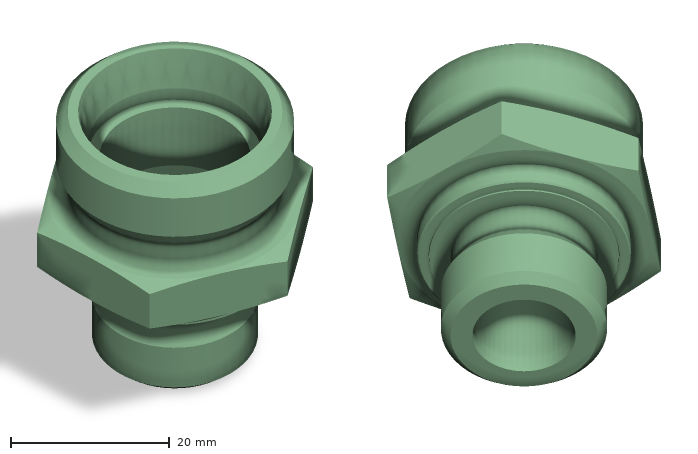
import cadquery as cq
import math

TOTAL_HEIGHT = 38.0
FLANGE_BOTTOM = 14.0
HEX_BOTTOM = 17.0
HEX_TOP = 24.0
STUD_SHOULDER = 7.8
COLLAR_SHOULDER = 30.15

STUD_RADIUS = 20.95 / 2
STUD_NECK_RADIUS = 18.4 / 2
FLANGE_RADIUS = 26.9 / 2
COLLAR_NECK_RADIUS = 26.9 / 2
COLLAR_RADIUS = 30.0 / 2
HEX_ACROSS_FLATS = 32.0
STUD_CHAMFER = 1.2
COLLAR_CHAMFER = 1.5
FLANGE_CHAMFER = 0.2
HEX_CHAMFER_ANGLE = 15.0
RUNOUT_ANGLE = 30.0
RUNOUT_RADIUS = 1.0
HEX_FILLET = 1.15

BORE_RADIUS = 13.0 / 2
MIDDLE_BORE_RADIUS = 19.0 / 2
TUBE_SOCKET_RADIUS = 22.0 / 2
MOUTH_RADIUS = 12.2
MOUTH_DEPTH = 5.6
TUBE_SOCKET_DEPTH = 7.5
MIDDLE_BORE_DEPTH = 17.1
BORE_CONE_ANGLE = 60.0

SEAL_OUTER_RADIUS = 23.9 / 2
SEAL_INNER_RADIUS = 18.5 / 2
SEAL_THICKNESS = 1.5
SEAL_PROTRUSION = 0.2
RECESS_RADIUS = 24.0 / 2

SEAL_BOTTOM = FLANGE_BOTTOM - SEAL_PROTRUSION
RECESS_ROOF = SEAL_BOTTOM + SEAL_THICKNESS


def revolve(profile):
    """Turn a closed (radius, height) profile about the Z axis."""
    return profile.close().revolve(360, (0, 0, 0), (0, 1, 0))


def runout_points(neck_radius, thread_radius, shoulder, direction):
    """Neck end, blend midpoint and cone end of a thread run-out.

    direction is +1 where the neck lies above the shoulder and -1 where it lies below.
    """
    angle = math.radians(RUNOUT_ANGLE)

    def blend_offset(turn):
        return RUNOUT_RADIUS * (1 - math.cos(turn))

    cone_radius = neck_radius + blend_offset(angle)
    cone_z = shoulder + direction * (thread_radius - cone_radius) / math.tan(angle)
    neck_z = cone_z + direction * RUNOUT_RADIUS * math.sin(angle)
    middle_z = neck_z - direction * RUNOUT_RADIUS * math.sin(angle / 2)
    middle_radius = neck_radius + blend_offset(angle / 2)
    return (neck_radius, neck_z), (middle_radius, middle_z), (cone_radius, cone_z)


def make_stud():
    """Lower thread, neck and flange, with the seal recess in the flange face."""
    neck_end, blend_middle, cone_end = runout_points(STUD_NECK_RADIUS, STUD_RADIUS, STUD_SHOULDER, 1)
    profile = (
        cq.Workplane("XZ")
        .moveTo(0, 0)
        .lineTo(STUD_RADIUS - STUD_CHAMFER, 0)
        .lineTo(STUD_RADIUS, STUD_CHAMFER)
        .lineTo(STUD_RADIUS, STUD_SHOULDER)
        .lineTo(*cone_end)
        .threePointArc(blend_middle, neck_end)
        .lineTo(STUD_NECK_RADIUS, RECESS_ROOF)
        .lineTo(RECESS_RADIUS, RECESS_ROOF)
        .lineTo(RECESS_RADIUS, FLANGE_BOTTOM)
        .lineTo(FLANGE_RADIUS - FLANGE_CHAMFER, FLANGE_BOTTOM)
        .lineTo(FLANGE_RADIUS, FLANGE_BOTTOM + FLANGE_CHAMFER)
        .lineTo(FLANGE_RADIUS, HEX_BOTTOM)
        .lineTo(0, HEX_BOTTOM)
    )
    return revolve(profile)


def make_hexagon():
    """Wrench hexagon with corners on the Y axis, coned off at both faces."""
    corner_radius = HEX_ACROSS_FLATS / math.sqrt(3)
    flat_radius = HEX_ACROSS_FLATS / 2
    corner_drop = (corner_radius - flat_radius) * math.tan(math.radians(HEX_CHAMFER_ANGLE))
    prism = (
        cq.Workplane("XY", origin=(0, 0, HEX_BOTTOM))
        .polygon(6, 2 * corner_radius)
        .extrude(HEX_TOP - HEX_BOTTOM)
        .rotate((0, 0, 0), (0, 0, 1), 90)
    )
    coned_blank = revolve(
        cq.Workplane("XZ")
        .moveTo(0, HEX_BOTTOM)
        .lineTo(flat_radius, HEX_BOTTOM)
        .lineTo(corner_radius, HEX_BOTTOM + corner_drop)
        .lineTo(corner_radius, HEX_TOP - corner_drop)
        .lineTo(flat_radius, HEX_TOP)
        .lineTo(0, HEX_TOP)
    )
    return prism.intersect(coned_blank)


def make_collar():
    """Filleted upper neck, run-out and upper thread cylinder."""
    neck_end, blend_middle, cone_end = runout_points(COLLAR_NECK_RADIUS, COLLAR_RADIUS, COLLAR_SHOULDER, -1)
    fillet_middle = HEX_FILLET * (1 - math.sqrt(0.5))
    profile = (
        cq.Workplane("XZ")
        .moveTo(0, HEX_TOP)
        .lineTo(COLLAR_NECK_RADIUS + HEX_FILLET, HEX_TOP)
        .threePointArc(
            (COLLAR_NECK_RADIUS + fillet_middle, HEX_TOP + fillet_middle),
            (COLLAR_NECK_RADIUS, HEX_TOP + HEX_FILLET),
        )
        .lineTo(*neck_end)
        .threePointArc(blend_middle, cone_end)
        .lineTo(COLLAR_RADIUS, COLLAR_SHOULDER)
        .lineTo(COLLAR_RADIUS, TOTAL_HEIGHT - COLLAR_CHAMFER)
        .lineTo(COLLAR_RADIUS - COLLAR_CHAMFER, TOTAL_HEIGHT)
        .lineTo(0, TOTAL_HEIGHT)
    )
    return revolve(profile)


def make_bore():
    """Tapered mouth, tube socket, middle bore and narrow through bore."""
    cone_top = TOTAL_HEIGHT - MIDDLE_BORE_DEPTH
    cone_height = (MIDDLE_BORE_RADIUS - BORE_RADIUS) / math.tan(math.radians(BORE_CONE_ANGLE))
    socket_floor = TOTAL_HEIGHT - TUBE_SOCKET_DEPTH
    profile = (
        cq.Workplane("XZ")
        .moveTo(0, 0)
        .lineTo(BORE_RADIUS, 0)
        .lineTo(BORE_RADIUS, cone_top - cone_height)
        .lineTo(MIDDLE_BORE_RADIUS, cone_top)
        .lineTo(MIDDLE_BORE_RADIUS, socket_floor)
        .lineTo(TUBE_SOCKET_RADIUS, socket_floor)
        .lineTo(TUBE_SOCKET_RADIUS, TOTAL_HEIGHT - MOUTH_DEPTH)
        .lineTo(MOUTH_RADIUS, TOTAL_HEIGHT)
        .lineTo(0, TOTAL_HEIGHT)
    )
    return revolve(profile)


def make_fitting():
    """Complete turned and milled fitting."""
    return make_stud().union(make_hexagon()).union(make_collar()).cut(make_bore())


def make_seal():
    """Flat sealing ring that sits in the flange recess and stands slightly proud."""
    return (
        cq.Workplane("XY", origin=(0, 0, SEAL_BOTTOM))
        .circle(SEAL_OUTER_RADIUS)
        .circle(SEAL_INNER_RADIUS)
        .extrude(SEAL_THICKNESS)
    )


fitting = make_fitting()
seal = make_seal()
result = cq.Compound.makeCompound([fitting.solids().val(), seal.val()])